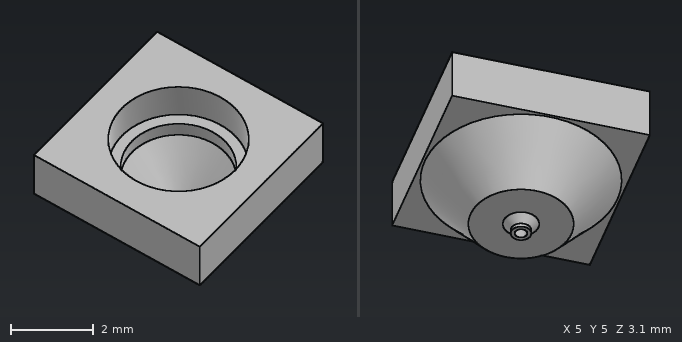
import cadquery as cq

plate_side = 5.0
plate_height = 1.4

body_height = 1.4
body_top_radius = 2.435
body_bottom_radius = 1.275

nozzle_height = 0.3
tip_height = 0.1
flare_radius = 0.44
tip_radius = 0.25

bore_radius = 1.7
bore_depth = 1.0
seat_radius = 1.4
seat_depth = 0.4
outlet_radius = 0.15

flare_bottom_z = tip_height
body_bottom_z = nozzle_height
plate_bottom_z = body_bottom_z + body_height
plate_top_z = plate_bottom_z + plate_height
bore_floor_z = plate_top_z - bore_depth
funnel_top_z = bore_floor_z - seat_depth


def revolve_about_z(profile):
    """Revolve a closed radius-height profile about the Z axis."""
    return profile.close().revolve(360, (0, 0, 0), (0, 1, 0))


def make_plate():
    return (
        cq.Workplane("XY", origin=(0, 0, plate_bottom_z))
        .rect(plate_side, plate_side)
        .extrude(plate_height)
    )


def make_body_and_nozzle():
    profile = (
        cq.Workplane("XZ")
        .lineTo(tip_radius, 0)
        .lineTo(tip_radius, flare_bottom_z)
        .lineTo(flare_radius, body_bottom_z)
        .lineTo(body_bottom_radius, body_bottom_z)
        .lineTo(body_top_radius, plate_bottom_z)
        .lineTo(0, plate_bottom_z)
    )
    return revolve_about_z(profile)


def make_passage():
    profile = (
        cq.Workplane("XZ")
        .lineTo(outlet_radius, 0)
        .lineTo(outlet_radius, body_bottom_z)
        .lineTo(seat_radius, funnel_top_z)
        .lineTo(seat_radius, bore_floor_z)
        .lineTo(bore_radius, bore_floor_z)
        .lineTo(bore_radius, plate_top_z)
        .lineTo(0, plate_top_z)
    )
    return revolve_about_z(profile)


result = make_plate().union(make_body_and_nozzle()).cut(make_passage())